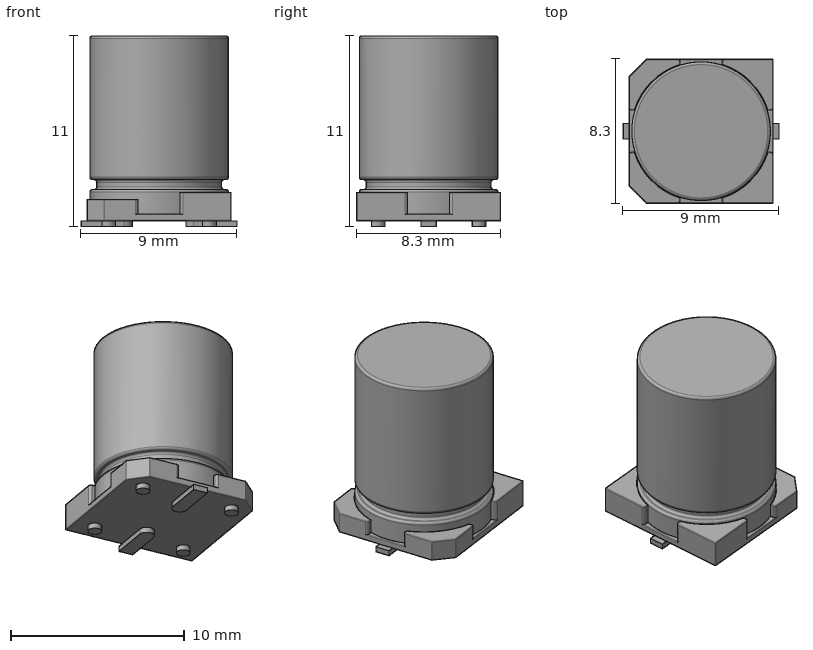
import cadquery as cq
import math

total_height = 11.0
lead_span = 9.0

can_diameter = 8.0
can_top_round = 0.15
neck_diameter = 7.2
neck_bottom = 2.3
neck_top = 2.55
neck_round = 0.15

base_width = 8.3
base_bottom = 0.33
floor_level = 0.73
low_corner_level = 1.57
high_corner_level = 1.98
corner_chamfer = 1.0
edge_round = 0.04

opening_width = 2.42
opening_round = 0.15

lead_width = 0.9
lead_inner_end = 1.54
stud_diameter = 0.8
stud_offset = 2.9

can_radius = can_diameter / 2
neck_radius = neck_diameter / 2
half_base = base_width / 2
level_tolerance = 0.001


def make_can():
    """Turned can: plain body with a rounded neck groove near the bottom."""
    lip = can_radius - neck_round
    root = neck_radius + neck_round
    lower_shoulder = neck_bottom - neck_round
    upper_shoulder = neck_top + neck_round
    bend = neck_round * math.sin(math.radians(45))
    profile = (
        cq.Workplane("XZ")
        .moveTo(0, floor_level)
        .lineTo(can_radius, floor_level)
        .lineTo(can_radius, lower_shoulder - neck_round)
        .threePointArc((lip + bend, lower_shoulder - neck_round + bend), (lip, lower_shoulder))
        .lineTo(root, lower_shoulder)
        .threePointArc((root - bend, neck_bottom - bend), (neck_radius, neck_bottom))
        .lineTo(neck_radius, neck_top)
        .threePointArc((root - bend, neck_top + bend), (root, upper_shoulder))
        .lineTo(lip, upper_shoulder)
        .threePointArc((lip + bend, upper_shoulder + neck_round - bend),
                       (can_radius, upper_shoulder + neck_round))
        .lineTo(can_radius, total_height)
        .lineTo(0, total_height)
        .close()
    )
    return profile.revolve(360, (0, 0), (0, 1)).faces(">Z").edges().fillet(can_top_round)


def is_mouth_edge(edge):
    """True for an upright edge where an opening breaks through an outer face."""
    center = edge.Center()
    inner = min(abs(center.x), abs(center.y))
    outer = max(abs(center.x), abs(center.y))
    return inner < opening_width and outer > can_radius


def is_level_rim_edge(edge):
    """True for a level edge around the underside, a corner top or an outer side of the floor."""
    center = edge.Center()
    is_level = edge.BoundingBox().zlen < level_tolerance
    is_on_floor = abs(center.z - floor_level) < level_tolerance
    is_on_outer_face = max(abs(center.x), abs(center.y)) > half_base - level_tolerance
    return is_level and (is_on_outer_face or not is_on_floor)


def make_base():
    """Square base with two chamfered corners, a seat for the can and side openings."""
    base = (
        cq.Workplane("XY", origin=(0, 0, base_bottom))
        .rect(base_width, base_width)
        .extrude(high_corner_level - base_bottom)
        .edges("|Z and <X")
        .chamfer(corner_chamfer)
        .edges("|Z")
        .fillet(edge_round)
    )
    above_floor = cq.Workplane("XY", origin=(0, 0, floor_level))
    above_low_corners = cq.Workplane("XY", origin=(-half_base, 0, low_corner_level))
    base = (
        base.cut(above_low_corners.rect(base_width, base_width).extrude(total_height))
        .cut(above_floor.circle(can_radius).extrude(total_height))
        .cut(above_floor.rect(opening_width, base_width).extrude(total_height))
        .cut(above_floor.rect(base_width, opening_width).extrude(total_height))
    )
    base = base.edges("|Z").filter(is_mouth_edge).fillet(opening_round)
    return base.edges().filter(is_level_rim_edge).fillet(edge_round)


def make_lead(side):
    """Flat lead on the +X side (side = 1) or the -X side (side = -1), round at its inner end."""
    outer_end = lead_span / 2
    round_center = lead_inner_end + lead_width / 2
    return (
        cq.Workplane("XY")
        .moveTo(side * outer_end, -lead_width / 2)
        .lineTo(side * round_center, -lead_width / 2)
        .threePointArc((side * lead_inner_end, 0), (side * round_center, lead_width / 2))
        .lineTo(side * outer_end, lead_width / 2)
        .close()
        .extrude(base_bottom)
    )


def make_studs():
    """Four round standoff studs under the base."""
    return (
        cq.Workplane("XY")
        .rect(2 * stud_offset, 2 * stud_offset, forConstruction=True)
        .vertices()
        .circle(stud_diameter / 2)
        .extrude(base_bottom)
    )


result = make_base().union(make_can()).union(make_studs())
for side in (-1, 1):
    result = result.union(make_lead(side))